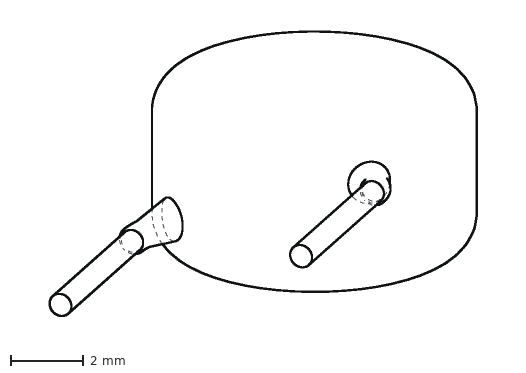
import cadquery as cq
import math

disc_diameter = 9.0
disc_height = 5.0
edge_radius = 1.0

overall_depth = 14.8
lead_diameter = 0.65
lead_spacing = 7.13
lead_level = 1.18
lead_start = -4.77
lead_end = disc_diameter / 2 - overall_depth

sleeve_radius = 0.4
collar_length = 0.1
lip_radius = 0.067
elbow_radius = 0.77
elbow_angle = 34.0
elbow_roll = 20.0
cone_length = 2.37
cone_half_angle = 11.5
cone_end_radius = sleeve_radius + cone_length * math.tan(math.radians(cone_half_angle))


def make_disc():
    return (
        cq.Workplane("XY")
        .cylinder(disc_height, disc_diameter / 2)
        .edges("%CIRCLE")
        .fillet(edge_radius)
    )


def make_sleeve():
    """Sleeve of the lower left lead."""
    collar = (
        cq.Workplane("XZ")
        .circle(sleeve_radius)
        .extrude(-collar_length)
        .faces("<Y")
        .edges()
        .fillet(lip_radius)
    )
    elbow = (
        cq.Workplane("XZ", origin=(0, collar_length, 0))
        .circle(sleeve_radius)
        .revolve(elbow_angle, (elbow_radius, 0), (elbow_radius, -1))
    )
    bend = math.radians(elbow_angle)
    cone_start = cq.Vector(
        elbow_radius * (1 - math.cos(bend)),
        collar_length + elbow_radius * math.sin(bend),
        0,
    )
    cone_direction = cq.Vector(math.sin(bend), math.cos(bend), 0)
    cone = cq.Solid.makeCone(sleeve_radius, cone_end_radius, cone_length, cone_start, cone_direction)
    return (
        collar.union(elbow)
        .union(cq.Workplane(obj=cone))
        .rotate((0, 0, 0), (0, 1, 0), -elbow_roll)
        .translate((-lead_spacing / 2, lead_start, -lead_level))
    )


def make_lead():
    """Lower left lead, butting against the end of its sleeve."""
    return (
        cq.Workplane("XZ", origin=(-lead_spacing / 2, lead_start, -lead_level))
        .circle(lead_diameter / 2)
        .extrude(lead_start - lead_end)
    )


def turn_about_y(shape, angle):
    return shape.rotate((0, 0, 0), (0, 1, 0), angle)


turns = (0, 180)

coating = make_disc()
for turn in turns:
    coating = coating.union(turn_about_y(make_sleeve(), turn))

leads = [turn_about_y(make_lead(), turn).val() for turn in turns]

result = cq.Compound.makeCompound([*coating.solids().vals(), *leads])